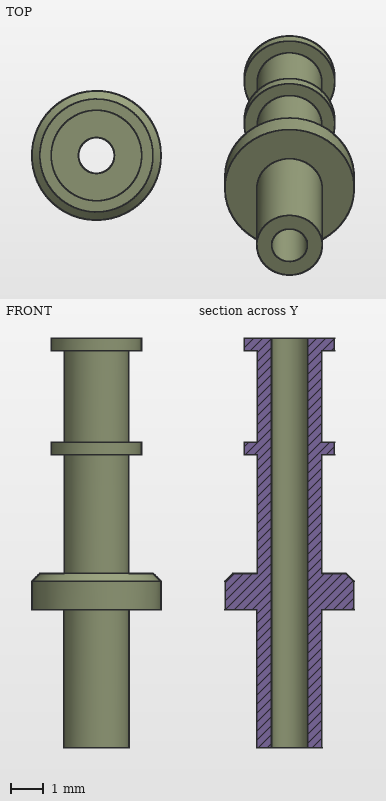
import cadquery as cq

total_height = 12.52
bore_diameter = 1.09

lower_stem_diameter = 2.0
upper_stem_diameter = 1.98

collar_diameter = 3.96
collar_bottom = 4.22
collar_height = 1.11
collar_chamfer = 0.25

flange_diameter = 2.77
flange_thickness = 0.39
middle_flange_bottom = 8.95
top_flange_bottom = total_height - flange_thickness


def disc(diameter, bottom, height):
    """Solid cylinder about the Z axis, starting at the given level."""
    return cq.Workplane("XY").workplane(offset=bottom).circle(diameter / 2).extrude(height)


lower_stem = disc(lower_stem_diameter, 0, collar_bottom)
upper_stem = disc(upper_stem_diameter, collar_bottom, total_height - collar_bottom)
collar = disc(collar_diameter, collar_bottom, collar_height).faces(">Z").edges().chamfer(collar_chamfer)

body = lower_stem.union(upper_stem).union(collar)
for flange_bottom in (middle_flange_bottom, top_flange_bottom):
    body = body.union(disc(flange_diameter, flange_bottom, flange_thickness))

result = body.cut(disc(bore_diameter, 0, total_height))